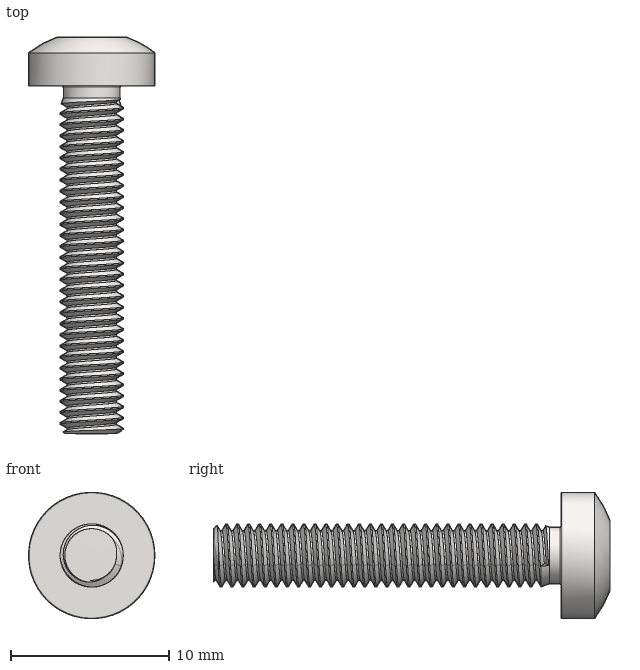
import cadquery as cq
import math


head_radius = 8.0 / 2
head_height = 3.1
dome_radius = 6.5
head_flat_radius = 4.4 / 2
rim_edge_fillet = 0.05

shank_length = 22.0
neck_radius = 3.6 / 2
neck_length = 0.74
neck_fillet = 0.1
neck_cone_angle = math.radians(20)
tip_radius = 3.4 / 2
tip_chamfer_angle = math.radians(45)
tip_cone_height = 0.02

thread_radius = 4.0 / 2
pitch = 0.7
flank_angle = math.radians(30)
triangle_height = pitch / 2 / math.tan(flank_angle)
thread_depth = triangle_height * 17 / 24
root_radius = thread_radius - thread_depth
crest_width = pitch / 8
root_width = pitch - crest_width - 2 * thread_depth * math.tan(flank_angle)
cut_clearance = 0.05

tip_to_groove = 0.66
turns_below_tip = 2
groove_turns = 31
groove_start_angle = 20


def make_head():
    """Cylindrical rim under a spherical dome that ends in a flat top."""
    dome_center = head_height - math.sqrt(dome_radius**2 - head_flat_radius**2)
    rim_top = dome_center + math.sqrt(dome_radius**2 - head_radius**2)
    mid_radius = (head_radius + head_flat_radius) / 2
    mid_height = dome_center + math.sqrt(dome_radius**2 - mid_radius**2)
    profile = (
        cq.Workplane("XZ")
        .lineTo(head_radius, 0)
        .lineTo(head_radius, rim_top)
        .threePointArc((mid_radius, mid_height), (head_flat_radius, head_height))
        .lineTo(0, head_height)
        .close()
    )
    head = profile.revolve(360, (0, 0), (0, 1))
    return head.faces("<Z").edges().fillet(rim_edge_fillet)


def make_shank():
    """Plain neck, cone up to the thread diameter, and a chamfered tip."""
    arc_offset = neck_fillet * (1 - math.sqrt(0.5))
    neck_cone_length = (thread_radius - neck_radius) / math.tan(neck_cone_angle)
    tip_edge = -shank_length + tip_cone_height
    chamfer_height = (thread_radius - tip_radius) / math.tan(tip_chamfer_angle)
    profile = (
        cq.Workplane("XZ")
        .lineTo(neck_radius + neck_fillet, 0)
        .threePointArc((neck_radius + arc_offset, -arc_offset), (neck_radius, -neck_fillet))
        .lineTo(neck_radius, -neck_length)
        .lineTo(thread_radius, -neck_length - neck_cone_length)
        .lineTo(thread_radius, tip_edge + chamfer_height)
        .lineTo(tip_radius, tip_edge)
        .lineTo(0, -shank_length)
        .close()
    )
    return profile.revolve(360, (0, 0), (0, 1))


def make_groove_turn(profile, turn):
    """Helices traced by the corners of the groove profile during one turn."""
    return [
        cq.Wire.makeHelix(pitch, pitch, radius, cq.Vector(0, 0, height + turn * pitch))
        for radius, height in profile
    ]


def make_thread_groove():
    """Helical groove with 60 degree flanks, its sides split into single turns."""
    outer_radius = thread_radius + cut_clearance
    half_root = root_width / 2
    half_mouth = half_root + (outer_radius - root_radius) * math.tan(flank_angle)
    profile = [
        (root_radius, -half_root),
        (outer_radius, -half_mouth),
        (outer_radius, half_mouth),
        (root_radius, half_root),
    ]
    turns = [make_groove_turn(profile, turn) for turn in range(groove_turns)]
    faces = []
    for helices in turns:
        for lower, upper in zip(helices, helices[1:] + helices[:1]):
            faces.append(cq.Face.makeRuledSurface(lower, upper))
    start_corners = [helix.startPoint() for helix in turns[0]]
    end_corners = [helix.endPoint() for helix in turns[-1]]
    for corners in (start_corners, end_corners):
        faces.append(cq.Face.makeFromWires(cq.Wire.makePolygon(corners, close=True)))
    groove = cq.Workplane(obj=cq.Solid.makeSolid(cq.Shell.makeShell(faces)))

    start_height = -shank_length + tip_to_groove - turns_below_tip * pitch
    start_height += pitch * groove_start_angle / 360
    groove = groove.rotate((0, 0, 0), (0, 0, 1), groove_start_angle)
    return groove.translate((0, 0, start_height))


blank = make_head().union(make_shank())
screw = blank.cut(make_thread_groove(), clean=False)
result = screw.rotate((0, 0, 0), (1, 0, 0), -90)